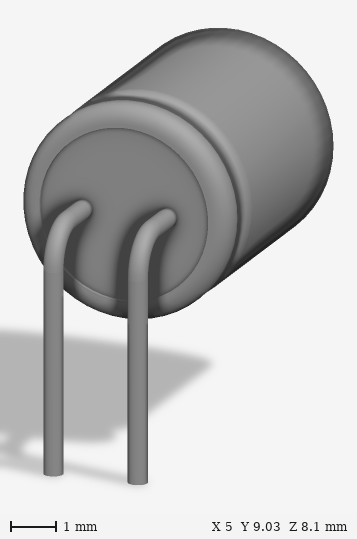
import cadquery as cq
import math


can_diameter = 5.0
can_length = 7.0
edge_radius = 0.4

groove_position = 0.95
groove_depth = 0.23
groove_radius = 0.25
groove_lip_radius = 0.4

seal_diameter = 4.0
seal_recess = 0.1

lead_diameter = 0.45
lead_pitch = 2.0
lead_straight = 0.9
lead_bend_radius = 0.9
lead_drop = 5.6


def arc_point(center, radius, angle):
    """Point on a circle in the (radial, axial) plane; the angle starts at the radial direction."""
    return (center[0] + radius * math.cos(angle), center[1] + radius * math.sin(angle))


def make_can():
    """Revolve the can outline, with its rounded ends and crimp groove, about Y."""
    can_radius = can_diameter / 2
    inner_edge = can_radius - edge_radius

    center_distance = groove_radius + groove_lip_radius
    lip_angle = math.acos(1 - groove_depth / center_distance)
    lip_offset = center_distance * math.sin(lip_angle)
    lip_center_radius = can_radius - groove_lip_radius
    lower_lip = (lip_center_radius, groove_position - lip_offset)
    upper_lip = (lip_center_radius, groove_position + lip_offset)
    groove_bottom = (can_radius - groove_depth, groove_position)

    lower_edge = (inner_edge, edge_radius)
    upper_edge = (inner_edge, can_length - edge_radius)
    eighth_turn = math.pi / 4

    outline = (
        cq.Workplane("XY")
        .lineTo(inner_edge, 0)
        .threePointArc(arc_point(lower_edge, edge_radius, -eighth_turn), (can_radius, edge_radius))
        .lineTo(can_radius, lower_lip[1])
        .threePointArc(
            arc_point(lower_lip, groove_lip_radius, lip_angle / 2),
            arc_point(lower_lip, groove_lip_radius, lip_angle),
        )
        .threePointArc(groove_bottom, arc_point(upper_lip, groove_lip_radius, -lip_angle))
        .threePointArc(
            arc_point(upper_lip, groove_lip_radius, -lip_angle / 2),
            (can_radius, upper_lip[1]),
        )
        .lineTo(can_radius, can_length - edge_radius)
        .threePointArc(arc_point(upper_edge, edge_radius, eighth_turn), (inner_edge, can_length))
        .lineTo(0, can_length)
        .close()
    )
    return outline.revolve(360, (0, 0, 0), (0, 1, 0))


def make_seal_recess():
    """Shallow round recess that leaves the seal below the rim of the lead end."""
    return cq.Workplane("XZ").circle(seal_diameter / 2).extrude(-seal_recess)


def make_lead(x):
    """Round lead that leaves the seal along -Y and bends down to its tip."""
    bend_end_y = -lead_straight - lead_bend_radius
    bend_middle = (
        -lead_straight - lead_bend_radius * math.sin(math.pi / 4),
        -lead_bend_radius * (1 - math.cos(math.pi / 4)),
    )
    path = (
        cq.Workplane("YZ", origin=(x, 0, 0))
        .moveTo(seal_recess, 0)
        .lineTo(-lead_straight, 0)
        .threePointArc(bend_middle, (bend_end_y, -lead_bend_radius))
        .lineTo(bend_end_y, -lead_drop)
    )
    return cq.Workplane("XZ", origin=(x, seal_recess, 0)).circle(lead_diameter / 2).sweep(path)


result = make_can().cut(make_seal_recess())
for side in (-1, 1):
    result = result.union(make_lead(side * lead_pitch / 2))